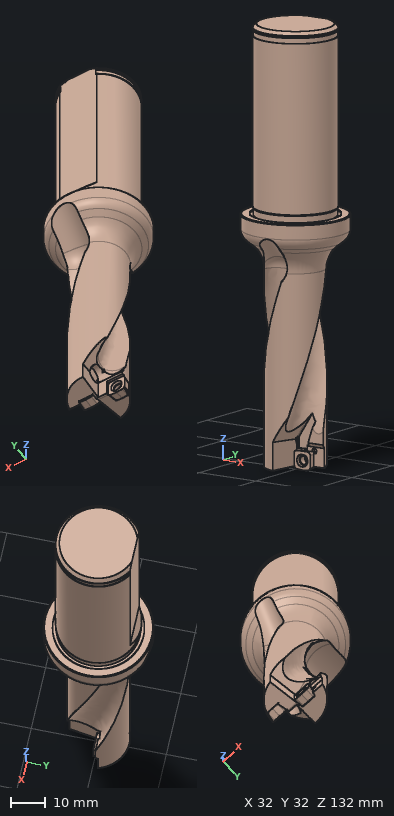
import cadquery as cq
import math

TOTAL_LENGTH = 132.0
BODY_DIAMETER = 18.4
BODY_RADIUS = BODY_DIAMETER / 2
BODY_TIP_Z = 0.8
NECK_Z = 59.8
NECK_SLOPE = 52.0
NECK_BULGE_RADIUS = 4.0
FLANGE_DIAMETER = 32.0
FLANGE_BOTTOM_Z = 71.3
FLANGE_TOP_Z = 75.8
FLANGE_CHAMFER = 0.3
UNDERCUT_DIAMETER = 26.7
UNDERCUT_DEPTH = 0.4
SHANK_DIAMETER = 25.0
RELIEF_DIAMETER = 24.5
SHANK_BOTTOM_Z = 77.9
TOP_RELIEF_BOTTOM_Z = 128.6
TOP_RELIEF_TOP_Z = 130.2
RELIEF_TAPER = 0.4
TOP_CHAMFER_RADIUS = 11.4
TOP_CHAMFER_HEIGHT = 1.0

FLAT_Y = 10.7
FLAT_BOTTOM_Z = 79.9

HELIX_PITCH = 171.6
FLUTE_TOP_Z = 59.8
RUNOUT_OUTWARD = 53.0
RUNOUT_SIDEWAYS = 40.0
RUNOUT_LENGTH = 21.1
PERIPHERAL_FLUTE = {"radius": 4.5, "offset": 7.5, "top_angle": -14.5, "bottom_z": 11.9}
CENTRAL_FLUTE = {"radius": 6.6, "offset": 9.2, "top_angle": 154.0, "bottom_z": 9.2}

INSERT_SIZE = 5.7
INSERT_THICKNESS = 3.2
INSERT_FACE_Y = -0.4
INSERT_RELIEF = 7.0
INSERT_CORNER = 0.9
INSERT_POINT = 0.3
INSERT_HOLE_DIAMETER = 2.5
INSERT_SINK_DIAMETER = 3.7
INSERT_SINK_DEPTH = 0.8
INSERT_SEAT_DIAMETER = 3.0
SCREW_HOLE_DIAMETER = 2.2
SCREW_HOLE_DEPTH = 0.8
SCREW_CORE_DIAMETER = 1.3
SCREW_CORE_DEPTH = 2.0
SEAT_RELIEF_RADIUS = 0.8
CENTRAL_INSERT = {"x": 2.6, "tip_z": 0.0, "turn": 0.0}
PERIPHERAL_INSERT = {"x": 6.5, "tip_z": 0.3, "turn": 180.0}

POCKET_TOP_Z = 18.5
POCKET_RAMP_RUN = 6.0
CENTRAL_POCKET = {"rim_x": -1.7, "floor_y": 0.9, "wall_top_z": 9.2, "wall_lean": 9.0}
PERIPHERAL_POCKET = {"rim_x": 0.7, "floor_y": -1.2, "wall_top_z": 7.9, "wall_lean": 0.0}
GUTTER_FLOOR_Y = 1.6
GUTTER_OUTLINE = [(0.3, 6.1), (3.2, 6.1), (6.3, 15.6), (5.4, 17.7), (0.3, 9.5)]

ROOT_RADIUS = 2.6
ROOT_Y = 3.2
ROOT_Z = 8.8
ROOT_END_X = -0.3

STEP_FLOOR_Y = 1.7
STEP_START_X = 3.0
STEP_TOP_Z = 8.0
STEP_SLOPE_HEIGHT = 1.2

CLEARANCE_START_Y = 0.7
CLEARANCE_RIM_Z = 2.4

OUTSIDE = 10.5


def revolved_body():
    """Shank, flange, blended neck and drill cylinder."""
    flange_radius = FLANGE_DIAMETER / 2
    undercut_radius = UNDERCUT_DIAMETER / 2
    shank_radius = SHANK_DIAMETER / 2
    relief_radius = RELIEF_DIAMETER / 2
    slope = math.radians(NECK_SLOPE)
    run = flange_radius - BODY_RADIUS
    rise = FLANGE_BOTTOM_Z - NECK_Z
    both_radii = (rise * math.sin(slope) - run * math.cos(slope)) / (1 - math.cos(slope))
    hollow_radius = both_radii - NECK_BULGE_RADIUS

    def hollow(angle):
        return (
            BODY_RADIUS + hollow_radius * (1 - math.cos(angle)),
            NECK_Z + hollow_radius * math.sin(angle),
        )

    def bulge(angle):
        return (
            flange_radius - NECK_BULGE_RADIUS * (1 - math.cos(angle)),
            FLANGE_BOTTOM_Z - NECK_BULGE_RADIUS * math.sin(angle),
        )

    return (
        cq.Workplane("XZ")
        .moveTo(0, BODY_TIP_Z)
        .lineTo(BODY_RADIUS, BODY_TIP_Z)
        .lineTo(BODY_RADIUS, NECK_Z)
        .threePointArc(hollow(slope / 2), hollow(slope))
        .lineTo(*bulge(slope))
        .threePointArc(bulge(slope / 2), (flange_radius, FLANGE_BOTTOM_Z))
        .lineTo(flange_radius, FLANGE_TOP_Z - FLANGE_CHAMFER)
        .lineTo(flange_radius - FLANGE_CHAMFER, FLANGE_TOP_Z)
        .lineTo(undercut_radius, FLANGE_TOP_Z)
        .lineTo(undercut_radius, FLANGE_TOP_Z - UNDERCUT_DEPTH)
        .lineTo(relief_radius, FLANGE_TOP_Z - UNDERCUT_DEPTH)
        .lineTo(relief_radius, SHANK_BOTTOM_Z - RELIEF_TAPER)
        .lineTo(shank_radius, SHANK_BOTTOM_Z)
        .lineTo(shank_radius, TOP_RELIEF_BOTTOM_Z)
        .lineTo(relief_radius, TOP_RELIEF_BOTTOM_Z)
        .lineTo(relief_radius, TOP_RELIEF_TOP_Z)
        .lineTo(shank_radius, TOP_RELIEF_TOP_Z + RELIEF_TAPER)
        .lineTo(shank_radius, TOTAL_LENGTH - TOP_CHAMFER_HEIGHT)
        .lineTo(TOP_CHAMFER_RADIUS, TOTAL_LENGTH)
        .lineTo(0, TOTAL_LENGTH)
        .close()
        .revolve(360, (0, 0, 0), (0, 1, 0))
    )


def clamping_flat():
    """Material beyond the flat, with a 45 degree run-out at its lower end."""
    shank_radius = SHANK_DIAMETER / 2
    flat_depth = shank_radius - FLAT_Y
    return (
        cq.Workplane("YZ")
        .moveTo(shank_radius, FLAT_BOTTOM_Z)
        .lineTo(FLAT_Y, FLAT_BOTTOM_Z + flat_depth)
        .lineTo(FLAT_Y, TOTAL_LENGTH)
        .lineTo(shank_radius, TOTAL_LENGTH)
        .close()
        .extrude(shank_radius, both=True)
    )


def flute_tools(radius, offset, top_angle, bottom_z):
    """Helical groove, its ball ends and the straight run-out into the neck."""
    height = FLUTE_TOP_Z - bottom_z
    twist = 360 * height / HELIX_PITCH
    bottom_angle = math.radians(top_angle - twist)
    bottom = (offset * math.sin(bottom_angle), -offset * math.cos(bottom_angle))
    groove = (
        cq.Workplane("XY", origin=(0, 0, bottom_z))
        .moveTo(*bottom)
        .circle(radius)
        .twistExtrude(height, twist)
    )
    low_ball = cq.Workplane("XY", origin=(*bottom, bottom_z)).sphere(radius)

    angle = math.radians(top_angle)
    outward = cq.Vector(math.sin(angle), -math.cos(angle), 0)
    along = cq.Vector(math.cos(angle), math.sin(angle), 0)
    top = outward * offset + cq.Vector(0, 0, FLUTE_TOP_Z)
    rise_outward = outward * math.tan(math.radians(RUNOUT_OUTWARD))
    rise_sideways = along * math.tan(math.radians(RUNOUT_SIDEWAYS))
    direction = cq.Vector(0, 0, 1) + rise_outward + rise_sideways
    runout = cq.Workplane(cq.Solid.makeCylinder(radius, RUNOUT_LENGTH, top, direction))
    high_ball = cq.Workplane("XY", origin=top.toTuple()).sphere(radius)
    return [groove, low_ball, high_ball, runout]


def chip_pocket(rim_x, floor_y, wall_top_z, wall_lean):
    """Pocket on the -Y side: leaning side wall, flat floor, sloping upper edge."""
    ramp_top_x = rim_x + POCKET_RAMP_RUN
    return (
        cq.Workplane("XZ", origin=(0, -BODY_RADIUS, 0))
        .polyline([(rim_x, -OUTSIDE), (rim_x, wall_top_z), (ramp_top_x, POCKET_TOP_Z),
                   (2 * OUTSIDE, POCKET_TOP_Z), (2 * OUTSIDE, -OUTSIDE)])
        .close()
        .extrude(-(BODY_RADIUS + floor_y), taper=wall_lean)
    )


def chip_gutter():
    """Shallow slanted channel in the floor of the central pocket."""
    return (
        cq.Workplane("XZ", origin=(0, GUTTER_FLOOR_Y, 0))
        .polyline(GUTTER_OUTLINE)
        .close()
        .extrude(BODY_RADIUS / 2)
    )


def peripheral_root():
    """Round-ended clearance cut along X from the -X side."""
    return (
        cq.Workplane("YZ", origin=(ROOT_END_X, ROOT_Y, ROOT_Z))
        .circle(ROOT_RADIUS)
        .extrude(-OUTSIDE)
    )


def central_step():
    """Deeper floor beside the central insert, sloping back out at the top."""
    return (
        cq.Workplane("YZ", origin=(STEP_START_X, 0, 0))
        .polyline([(CENTRAL_POCKET["floor_y"], 0), (STEP_FLOOR_Y, 0),
                   (STEP_FLOOR_Y, STEP_TOP_Z - STEP_SLOPE_HEIGHT),
                   (CENTRAL_POCKET["floor_y"], STEP_TOP_Z)])
        .close()
        .extrude(OUTSIDE)
    )


def tip_clearance():
    """Wedge that slopes the tip upward towards +Y."""
    return (
        cq.Workplane("YZ")
        .polyline([(CLEARANCE_START_Y, BODY_TIP_Z), (BODY_RADIUS, CLEARANCE_RIM_Z),
                   (BODY_RADIUS, BODY_TIP_Z)])
        .close()
        .extrude(OUTSIDE, both=True)
    )


def insert_blank(x, tip_z, turn):
    """Square insert without its hole, tapering away from the cutting face."""
    half = INSERT_SIZE / 2
    outline = (
        cq.Sketch()
        .polygon([(-half, INSERT_POINT), (0, 0), (half, INSERT_POINT),
                  (half, INSERT_SIZE), (-half, INSERT_SIZE), (-half, INSERT_POINT)])
        .vertices("<X or >X")
        .fillet(INSERT_CORNER)
    )
    return (
        cq.Workplane("XZ", origin=(x, INSERT_FACE_Y, tip_z))
        .placeSketch(outline)
        .extrude(-INSERT_THICKNESS, taper=INSERT_RELIEF)
        .rotate((0, 0, 0), (0, 0, 1), turn)
    )


def insert_opening(x, tip_z, turn):
    """Free space in front of an insert, open to the tip and to the outer side."""
    half = INSERT_SIZE / 2
    return (
        cq.Workplane("XZ", origin=(x, INSERT_FACE_Y, tip_z))
        .moveTo(-half, -tip_z)
        .lineTo(OUTSIDE, -tip_z)
        .lineTo(OUTSIDE, INSERT_SIZE)
        .lineTo(-half, INSERT_SIZE)
        .close()
        .extrude(OUTSIDE)
        .rotate((0, 0, 0), (0, 0, 1), turn)
    )


def insert_hole(x, tip_z, turn):
    """Countersunk clamping hole through an insert."""
    sink_radius = INSERT_SINK_DIAMETER / 2
    seat_radius = INSERT_SEAT_DIAMETER / 2
    hole_radius = INSERT_HOLE_DIAMETER / 2
    return (
        cq.Workplane("XY", origin=(x, INSERT_FACE_Y, tip_z + INSERT_SIZE / 2))
        .polyline([(0, 0), (sink_radius, 0), (seat_radius, INSERT_SINK_DEPTH),
                   (hole_radius, INSERT_SINK_DEPTH),
                   (hole_radius, INSERT_THICKNESS), (0, INSERT_THICKNESS)])
        .close()
        .revolve(360, (0, 0, 0), (0, 1, 0))
        .rotate((0, 0, 0), (0, 0, 1), turn)
    )


def screw_hole(x, tip_z, turn):
    """Blind stepped hole in the drill body behind an insert."""
    seat_y = INSERT_FACE_Y + INSERT_THICKNESS
    hole_radius = SCREW_HOLE_DIAMETER / 2
    core_radius = SCREW_CORE_DIAMETER / 2
    return (
        cq.Workplane("XY", origin=(x, seat_y, tip_z + INSERT_SIZE / 2))
        .polyline([(0, 0), (hole_radius, 0), (hole_radius, SCREW_HOLE_DEPTH),
                   (core_radius, SCREW_HOLE_DEPTH),
                   (core_radius, SCREW_CORE_DEPTH), (0, SCREW_CORE_DEPTH)])
        .close()
        .revolve(360, (0, 0, 0), (0, 1, 0))
        .rotate((0, 0, 0), (0, 0, 1), turn)
    )


def seat_relief(x, tip_z, turn):
    """Round relief at the corner of an insert seat."""
    return (
        cq.Workplane("XZ", origin=(x + INSERT_SIZE / 2, INSERT_FACE_Y, tip_z + INSERT_SIZE))
        .circle(SEAT_RELIEF_RADIUS)
        .extrude(-INSERT_THICKNESS)
        .rotate((0, 0, 0), (0, 0, 1), turn)
    )


INSERTS = [CENTRAL_INSERT, PERIPHERAL_INSERT]

drill = revolved_body().cut(clamping_flat())
for flute in [PERIPHERAL_FLUTE, CENTRAL_FLUTE]:
    for tool in flute_tools(**flute):
        drill = drill.cut(tool)
drill = drill.cut(tip_clearance())
drill = drill.cut(chip_pocket(**CENTRAL_POCKET)).cut(chip_gutter()).cut(central_step())
peripheral_pocket = chip_pocket(**PERIPHERAL_POCKET)
drill = drill.cut(peripheral_pocket.rotate((0, 0, 0), (0, 0, 1), PERIPHERAL_INSERT["turn"]))
drill = drill.cut(peripheral_root())
for place in INSERTS:
    drill = drill.cut(insert_opening(**place)).cut(insert_blank(**place))
    drill = drill.cut(screw_hole(**place))
drill = drill.cut(seat_relief(**CENTRAL_INSERT))

inserts = []
for place in INSERTS:
    inserts.append(insert_blank(**place).cut(insert_hole(**place)))

result = cq.Compound.makeCompound([drill.val(), *[insert.val() for insert in inserts]])